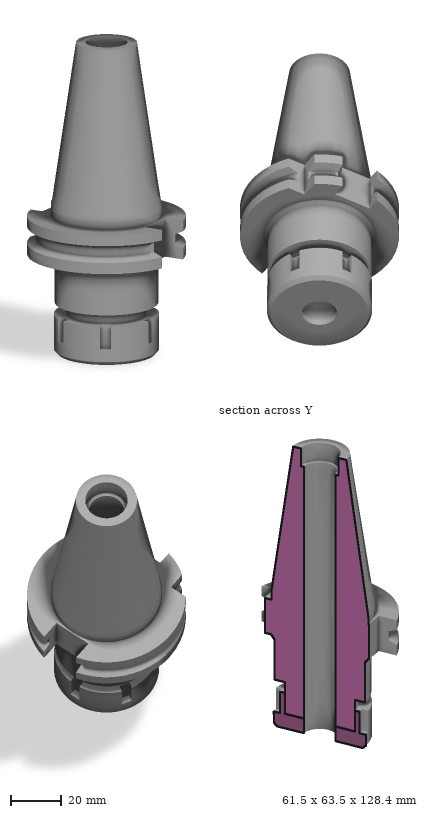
import cadquery as cq

total_height = 128.4
nut_height = 16.2
body_bottom = 20.8
body_top = 39.0
flange_bottom = 40.8
flange_top = 56.8
taper_bottom = 60.0

taper_small_diameter = 24.4
taper_large_diameter = 44.4
flange_diameter = 63.5
body_diameter = 41.5
nose_diameter = 32.1

groove_center = 48.9
groove_floor_width = 3.9
groove_mouth_width = 6.9
groove_floor_diameter = 56.4

keyway_width = 16.0
keyway_floor_left = 25.0
keyway_floor_right = 22.6
notch_corner_x = 18.5
notch_corner_y = 18.4

through_diameter = 14.1
counterbore_diameter = 17.0
counterbore_depth = 8.0

nut_diameter = 42.1
nut_chamfer = 1.5
slot_count = 6
slot_width = 4.4
slot_floor_height = 6.5
slot_floor_radius = 18.2

nose_end = slot_floor_height


def cylinder(diameter, bottom, top):
    """Upright cylinder on the Z axis between two levels."""
    return cq.Workplane("XY").workplane(offset=bottom).circle(diameter / 2).extrude(top - bottom)


def flange_block(x_min, x_max, y_min, y_max):
    """Block as tall as the flange, used to cut through its rim."""
    return (
        cq.Workplane("XY")
        .box(x_max - x_min, y_max - y_min, flange_top - flange_bottom, centered=False)
        .translate((x_min, y_min, flange_bottom))
    )


def make_turned_holder():
    """Solid of revolution: taper, grooved flange, body and nose."""
    flange_radius = flange_diameter / 2
    collar_radius = taper_large_diameter / 2
    groove_floor_radius = groove_floor_diameter / 2
    half_floor = groove_floor_width / 2
    half_mouth = groove_mouth_width / 2
    outline = [
        (0, nose_end),
        (nose_diameter / 2, nose_end),
        (nose_diameter / 2, body_bottom),
        (body_diameter / 2, body_bottom),
        (body_diameter / 2, body_top),
        (collar_radius, flange_bottom),
        (flange_radius, flange_bottom),
        (flange_radius, groove_center - half_mouth),
        (groove_floor_radius, groove_center - half_floor),
        (groove_floor_radius, groove_center + half_floor),
        (flange_radius, groove_center + half_mouth),
        (flange_radius, flange_top),
        (collar_radius, flange_top),
        (collar_radius, taper_bottom),
        (taper_small_diameter / 2, total_height),
        (0, total_height),
    ]
    return cq.Workplane("XZ").polyline(outline).close().revolve(360, (0, 0, 0), (0, 1, 0))


def make_holder():
    """Tool holder with its keyways, notch and stepped bore."""
    rim = flange_diameter / 2
    half_key = keyway_width / 2
    left_keyway = flange_block(-rim, -keyway_floor_left, -half_key, half_key)
    right_keyway = flange_block(keyway_floor_right, rim, -half_key, half_key)
    notch = flange_block(-rim, -notch_corner_x, notch_corner_y, rim)
    through_hole = cylinder(through_diameter, nose_end, total_height)
    counterbore = cylinder(counterbore_diameter, total_height - counterbore_depth, total_height)

    holder = make_turned_holder()
    for cutter in (left_keyway, right_keyway, notch, through_hole, counterbore):
        holder = holder.cut(cutter)
    return holder


def make_nut():
    """Clamping nut with a recess for the nose and wrench slots around its upper edge."""
    nut = cylinder(nut_diameter, 0, nut_height).faces("<Z").chamfer(nut_chamfer)
    nut = nut.cut(cylinder(nose_diameter, nose_end, nut_height))
    nut = nut.cut(cylinder(through_diameter, 0, nose_end))

    slot = (
        cq.Workplane("XY")
        .box(nut_diameter / 2, slot_width, nut_height - slot_floor_height, centered=(False, True, False))
        .translate((slot_floor_radius, 0, slot_floor_height))
    )
    for index in range(slot_count):
        nut = nut.cut(slot.rotate((0, 0, 0), (0, 0, 1), index * 360 / slot_count))
    return nut


holder = make_holder()
nut = make_nut()
result = cq.Compound.makeCompound([holder.val(), nut.val()])